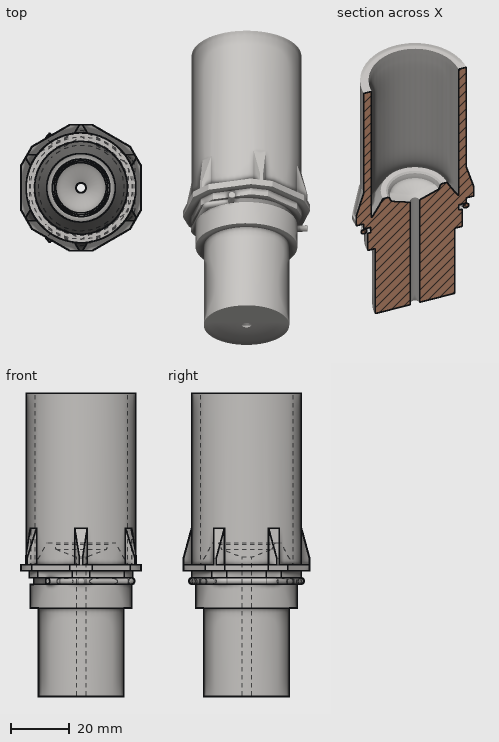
import cadquery as cq
import math

TOTAL_HEIGHT = 103.3
SHOULDER_BOTTOM = 30.1
GROOVE_BOTTOM = 38.2
GROOVE_TOP = 40.4
FLANGE_BOTTOM = 42.8
FLANGE_TOP = 44.9
RIB_SLOPE_BOTTOM = 47.1
RIB_TOP = 57.3

UPPER_PIPE_RADIUS = 18.7
SHOULDER_RADIUS = 17.4
GROOVE_RADIUS = 16.1
LOWER_PIPE_RADIUS = 14.6

HEX_SIDES = 6
HALF_HEX_STEP = 180 / HEX_SIDES
FLANGE_WIDTH = 41.0
FLANGE_FLAT = FLANGE_WIDTH / 2
FLANGE_CORNER = 21.5
COLLAR_FLAT = 17.7
COLLAR_CORNER = 18.7

RIB_ROOT_WIDTH = 4.2
RIB_TIP_WIDTH = 1.0

BORE_RADIUS = 15.8
BORE_FLOOR = FLANGE_TOP
SEAT_RADIUS = 11.7
SEAT_ANGLE = 61.0
CHAMFER_TOP_RADIUS = 9.8
CHAMFER_ANGLE = 40.0
THROAT_TOP_RADIUS = 9.2
THROAT_ANGLE = 70.0
FUNNEL_RADIUS = 8.6
FUNNEL_ANGLE = 21.0
OUTLET_RADIUS = 1.7

WIRE_RADIUS = (GROOVE_TOP - GROOVE_BOTTOM) / 2
CLIP_Z = (GROOVE_TOP + GROOVE_BOTTOM) / 2
CLIP_BACK_X = GROOVE_RADIUS + WIRE_RADIUS
CLIP_SIDE_FLAT = 16.2
CLIP_SIDE_SLOPE = math.radians(HALF_HEX_STEP)
BACK_BEND_RADIUS = 3.6
SMALL_BEND_RADIUS = 1.1
END_BEND_X = -7.4
TIP_X = -11.4
TIP_Y = 17.8


def cylinder(radius, bottom, top):
    """Solid cylinder on the Z axis between two heights."""
    return cq.Workplane("XY").workplane(offset=bottom).circle(radius).extrude(top - bottom)


def cut_hexagon(flat, corner, bottom, top):
    """Hexagonal plate with flats facing +-X, its corners cut off square to their radius."""
    across_corners = 2 / math.cos(math.radians(HALF_HEX_STEP))
    base = cq.Workplane("XY").workplane(offset=bottom)
    corner_cuts = base.polygon(HEX_SIDES, corner * across_corners).extrude(top - bottom)
    flats = base.polygon(HEX_SIDES, flat * across_corners).extrude(top - bottom)
    return flats.rotate((0, 0, 0), (0, 0, 1), HALF_HEX_STEP).intersect(corner_cuts)


def rib():
    """Rib toward +X, narrowing outward, with a sloped top."""
    plan = [
        (0, -RIB_ROOT_WIDTH / 2),
        (UPPER_PIPE_RADIUS, -RIB_ROOT_WIDTH / 2),
        (FLANGE_CORNER, -RIB_TIP_WIDTH / 2),
        (FLANGE_CORNER, RIB_TIP_WIDTH / 2),
        (UPPER_PIPE_RADIUS, RIB_ROOT_WIDTH / 2),
        (0, RIB_ROOT_WIDTH / 2),
    ]
    side = [
        (0, FLANGE_TOP),
        (FLANGE_CORNER, FLANGE_TOP),
        (FLANGE_CORNER, RIB_SLOPE_BOTTOM),
        (UPPER_PIPE_RADIUS, RIB_TOP),
        (0, RIB_TOP),
    ]
    base = cq.Workplane("XY").workplane(offset=FLANGE_TOP)
    column = base.polyline(plan).close().extrude(RIB_TOP - FLANGE_TOP)
    profile = cq.Workplane("XZ").polyline(side).close().extrude(RIB_ROOT_WIDTH / 2, both=True)
    return column.intersect(profile)


def height_of_slope(outer_radius, inner_radius, angle):
    """Height gained by a cone between two radii, its angle in degrees from level."""
    return (outer_radius - inner_radius) * math.tan(math.radians(angle))


def bore():
    """Everything removed along the axis, from the top of the upper pipe down through the outlet."""
    seat_top = BORE_FLOOR + height_of_slope(BORE_RADIUS, SEAT_RADIUS, SEAT_ANGLE)
    throat_top = seat_top - height_of_slope(CHAMFER_TOP_RADIUS, THROAT_TOP_RADIUS, CHAMFER_ANGLE)
    funnel_top = throat_top - height_of_slope(THROAT_TOP_RADIUS, FUNNEL_RADIUS, THROAT_ANGLE)
    funnel_bottom = funnel_top - height_of_slope(FUNNEL_RADIUS, OUTLET_RADIUS, FUNNEL_ANGLE)
    half_section = [
        (0, 0),
        (OUTLET_RADIUS, 0),
        (OUTLET_RADIUS, funnel_bottom),
        (FUNNEL_RADIUS, funnel_top),
        (THROAT_TOP_RADIUS, throat_top),
        (CHAMFER_TOP_RADIUS, seat_top),
        (SEAT_RADIUS, seat_top),
        (BORE_RADIUS, BORE_FLOOR),
        (BORE_RADIUS, TOTAL_HEIGHT),
        (0, TOTAL_HEIGHT),
    ]
    return cq.Workplane("XZ").polyline(half_section).close().revolve(360, (0, 0), (0, 1))


def bent_path(corners):
    """Line through the given corners, each inner corner rounded to its bend radius."""
    path = cq.Workplane("XY").workplane(offset=CLIP_Z).moveTo(*corners[0][0])
    for i in range(1, len(corners) - 1):
        corner, radius = corners[i]
        point = cq.Vector(*corner)
        before = (cq.Vector(*corners[i - 1][0]) - point).normalized()
        after = (cq.Vector(*corners[i + 1][0]) - point).normalized()
        half_angle = before.getAngle(after) / 2
        setback = radius / math.tan(half_angle)
        middle = point + (before + after).normalized() * (radius / math.sin(half_angle) - radius)
        bend_start = point + before * setback
        bend_end = point + after * setback
        path = path.lineTo(bend_start.x, bend_start.y)
        path = path.threePointArc((middle.x, middle.y), (bend_end.x, bend_end.y))
    return path.lineTo(*corners[-1][0])


def clip():
    """Wire swept along its centre line, from one outward-bent end round the back to the other."""
    corner_y = CLIP_SIDE_FLAT / math.cos(CLIP_SIDE_SLOPE)
    back_y = corner_y - CLIP_BACK_X * math.tan(CLIP_SIDE_SLOPE)
    end_y = corner_y + END_BEND_X * math.tan(CLIP_SIDE_SLOPE)
    half_path = [
        ((TIP_X, TIP_Y), 0),
        ((END_BEND_X, end_y), SMALL_BEND_RADIUS),
        ((0, corner_y), SMALL_BEND_RADIUS),
        ((CLIP_BACK_X, back_y), BACK_BEND_RADIUS),
    ]
    corners = half_path + [((x, -y), radius) for (x, y), radius in reversed(half_path)]
    path = bent_path(corners)
    start_direction = cq.Vector(END_BEND_X - TIP_X, end_y - TIP_Y, 0)
    start = cq.Plane(origin=(TIP_X, TIP_Y, CLIP_Z), xDir=(0, 0, 1), normal=start_direction)
    return cq.Workplane(start).circle(WIRE_RADIUS).sweep(path)


def housing(clip_solid):
    """Pipe coupling with its flange, ribs and groove, slotted where the clip wire bites into it."""
    body = cylinder(LOWER_PIPE_RADIUS, 0, SHOULDER_BOTTOM)
    body = body.union(cylinder(SHOULDER_RADIUS, SHOULDER_BOTTOM, GROOVE_BOTTOM))
    body = body.union(cylinder(GROOVE_RADIUS, GROOVE_BOTTOM, GROOVE_TOP))
    body = body.union(cut_hexagon(COLLAR_FLAT, COLLAR_CORNER, GROOVE_TOP, FLANGE_BOTTOM))
    body = body.union(cut_hexagon(FLANGE_FLAT, FLANGE_CORNER, FLANGE_BOTTOM, FLANGE_TOP))
    body = body.union(cylinder(UPPER_PIPE_RADIUS, FLANGE_TOP, TOTAL_HEIGHT))
    for i in range(HEX_SIDES):
        angle = HALF_HEX_STEP + i * 360 / HEX_SIDES
        body = body.union(rib().rotate((0, 0, 0), (0, 0, 1), angle))
    return body.cut(bore()).cut(clip_solid)


spring_clip = clip()
main_body = housing(spring_clip)
result = cq.Compound.makeCompound([main_body.val(), spring_clip.val()])